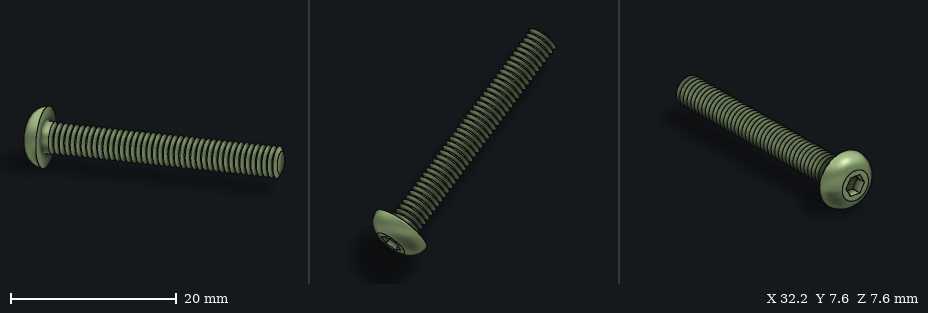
import cadquery as cq
import math

overall_length = 32.2

head_radius = 3.8
head_height = 2.2
rim_width = 0.2
crown_flat_radius = 2.03
dome_mid_x = 0.68
dome_mid_radius = 3.2

thread_radius = 2.0
plain_shank_end = 3.15
crest_count = 41
thread_half_angle = 30.0
neck_fillet = 0.2

socket_sides = 6
socket_across_flats = 2.48
socket_depth = 1.32
entry_cone_slope = 10.0
bottom_half_angle = 60.0

thread_pitch = (overall_length - plain_shank_end) / (crest_count + 0.5)
half_pitch = thread_pitch / 2
root_radius = thread_radius - half_pitch / math.tan(math.radians(thread_half_angle))
first_crest_x = plain_shank_end + thread_pitch
socket_corner_radius = socket_across_flats / math.sqrt(3)


def revolve_about_x(profile):
    """Close a half profile along the X axis and spin it into a solid."""
    return profile.close().revolve(360, (0, 0, 0), (1, 0, 0))


def make_screw_body():
    """Head, neck, plain shank and thread rings as one revolved half profile."""
    arc_side = neck_fillet * (1 - math.sqrt(0.5))
    profile = (
        cq.Workplane("XY")
        .lineTo(0, crown_flat_radius)
        .threePointArc((dome_mid_x, dome_mid_radius), (head_height - rim_width, head_radius))
        .lineTo(head_height, head_radius)
        .lineTo(head_height, thread_radius + neck_fillet)
        .threePointArc(
            (head_height + arc_side, thread_radius + arc_side),
            (head_height + neck_fillet, thread_radius),
        )
        .lineTo(plain_shank_end, thread_radius)
    )
    for index in range(crest_count):
        crest_x = first_crest_x + index * thread_pitch
        profile = profile.lineTo(crest_x - half_pitch, root_radius).lineTo(crest_x, thread_radius)
    profile = profile.lineTo(overall_length, root_radius).lineTo(overall_length, 0)
    return revolve_about_x(profile)


def make_socket():
    """Hexagonal socket ending in a drill-point cone, flats facing up and down."""
    cone_height = socket_corner_radius / math.tan(math.radians(bottom_half_angle))
    hexagon = (
        cq.Workplane("YZ")
        .polygon(socket_sides, 2 * socket_corner_radius)
        .extrude(socket_depth + cone_height)
    )
    drilled_hole = revolve_about_x(
        cq.Workplane("XY")
        .lineTo(0, socket_corner_radius)
        .lineTo(socket_depth, socket_corner_radius)
        .lineTo(socket_depth + cone_height, 0)
    )
    return hexagon.intersect(drilled_hole)


def make_entry_cone():
    """Shallow lead-in cone whose mouth passes through the corners of the hexagon."""
    cone_height = socket_corner_radius * math.tan(math.radians(entry_cone_slope))
    return revolve_about_x(
        cq.Workplane("XY").lineTo(0, socket_corner_radius).lineTo(cone_height, 0)
    )


result = make_screw_body().cut(make_socket()).cut(make_entry_cone())